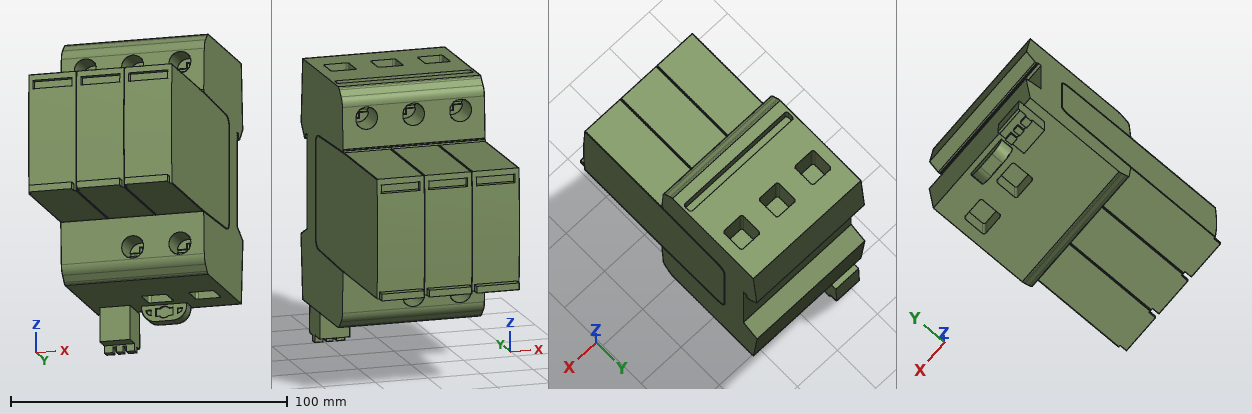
import cadquery as cq
import math


width = 54.0
height = 90.1
top_edge_front = -37.1
front_at_joint = -42.7
rear_at_end = 5.2
upper_rear = 7.0
lower_rear = 7.2
seat_low, seat_high = 24.2, 27.7
hook_start = 65.8
hook_root = 63.0
hook_tip = 60.8
hook_inner = 1.7
hook_tip_width = 1.2
hook_ease = 0.5
joint_groove = 0.3
joint_groove_top, joint_groove_bottom = 1.0, 0.4

pole_count = 3
module_gap = 0.2
module_pitch = (width + module_gap) / pole_count
module_width = module_pitch - module_gap
module_bottom = 22.2
module_top = 67.0
module_middle = (module_bottom + module_top) / 2
module_front = -82.9
front_bulge = 0.6
module_bend = -43.4
module_rear = -9.9
rear_narrowing = 1.2
rear_radius = 3.8
module_chamfer = 0.2
grip_width, grip_height, grip_depth = 14.7, 3.2, 1.9
grip_middle_z = 63.2
lip_width, lip_height = 16.2, 2.5
lip_front = -86.0

terminal_pitch = 17.8
screw_radius = 4.1
screw_hole_length = 12.7
screw_floor = -31.7
screw_z_top, screw_z_bottom = 78.9, 11.1
drive_width, drive_short, drive_depth = 1.2, 5.4, 1.1
entry_x, entry_y, entry_depth = 9.5, 9.7, 15.8
entry_middle_y = -10.5
marker_length, marker_width, marker_depth = 51.6, 3.8, 5.3
marker_middle_y = -30.6
opening_radius = 1.0

latch_width, latch_drop, latch_radius = 17.0, 6.1, 5.3
latch_front, latch_rear = -2.1, 3.2
latch_recess = 1.1
latch_mark_z = -2.7
tool_width, tool_height, tool_radius = 6.5, 3.0, 2.2
corner_mark_x, corner_mark_z, corner_mark_radius = 5.0, -1.7, 1.9

connector_width, connector_middle_x = 11.4, -17.8
connector_front, connector_rear = -4.5, 7.9
connector_taper = 0.4
connector_bottom = -12.8
rear_foot_bevel = 0.8
rear_foot_bottom = -13.4
tongue_bottom = -15.5
tongue_front, tongue_rear = 1.4, 4.3
tongue_notch, tongue_notch_pitch = 1.4, 3.8


def row_along_x(count, spacing):
    """X positions of a row centred on the middle of the width."""
    return [(i - (count - 1) / 2) * spacing for i in range(count)]


def block(x, y, z):
    """Box spanning the (low, high) ranges on each axis."""
    size = [high - low for low, high in (x, y, z)]
    return cq.Workplane("XY").box(*size, centered=False).translate((x[0], y[0], z[0]))


def extrude_across(outline, length, middle_x=0):
    """Extrude a closed Y-Z outline along X, centred on middle_x."""
    return outline.extrude(length / 2, both=True).translate((middle_x, 0, 0))


def front_sketch(y):
    """Workplane in X-Z facing the front at the given Y."""
    return cq.Workplane("XZ", origin=(0, y, 0))


def housing():
    crest = (-37.7, 0.3)
    slope_start = (-38.3, 0.8)
    slope_end = (-40.3, 3.0)
    arc_middle = (-41.5, 4.5)
    arc_end = (-41.9, 6.5)
    groove_floor = front_at_joint + joint_groove
    groove_top = module_top + joint_groove_top
    groove_bottom = module_top + joint_groove_bottom

    def top(point):
        return point[0], height - point[1]

    outline = (
        cq.Workplane("YZ")
        .moveTo(rear_at_end, height)
        .lineTo(top_edge_front, height)
        .lineTo(*top(crest))
        .lineTo(*top(slope_start))
        .lineTo(*top(slope_end))
        .threePointArc(top(arc_middle), top(arc_end))
        .lineTo(front_at_joint, groove_top)
        .lineTo(groove_floor, groove_top)
        .lineTo(groove_floor, groove_bottom)
        .lineTo(front_at_joint, groove_bottom)
        .lineTo(module_bend, module_top)
        .lineTo(front_at_joint, module_middle)
        .lineTo(front_at_joint, module_bottom)
        .lineTo(*arc_end)
        .threePointArc(arc_middle, slope_end)
        .lineTo(*slope_start)
        .lineTo(*crest)
        .lineTo(top_edge_front, 0)
        .lineTo(rear_at_end, 0)
        .lineTo(lower_rear, seat_low)
        .lineTo(0, seat_high)
        .lineTo(0, hook_root)
        .lineTo(hook_inner - hook_ease, hook_root)
        .lineTo(hook_inner, hook_root - hook_ease)
        .lineTo(hook_inner, hook_tip + hook_ease)
        .lineTo(hook_inner + hook_ease, hook_tip)
        .lineTo(hook_inner + hook_tip_width, hook_tip)
        .lineTo(upper_rear, hook_start)
        .close()
    )
    return extrude_across(outline, width)


def module_blank(length):
    outline = (
        cq.Workplane("YZ")
        .moveTo(module_front, module_bottom)
        .lineTo(module_bend, module_bottom)
        .lineTo(module_rear, module_bottom + rear_narrowing)
        .lineTo(module_rear, module_top - rear_narrowing)
        .lineTo(module_bend, module_top)
        .lineTo(module_front, module_top)
        .threePointArc((module_front - front_bulge, module_middle), (module_front, module_bottom))
        .close()
    )
    return extrude_across(outline, length).edges("|X and >Y").fillet(rear_radius)


def plug_in_module():
    module = module_blank(module_width)
    for side in ("<X", ">X"):
        module = module.faces(side).edges("not(<Y)").chamfer(module_chamfer)
    grip = block(
        (-grip_width / 2, grip_width / 2),
        (module_front - front_bulge, module_front + grip_depth),
        (grip_middle_z - grip_height / 2, grip_middle_z + grip_height / 2),
    )
    lip = block(
        (-lip_width / 2, lip_width / 2),
        (lip_front, module_front + front_bulge),
        (module_bottom, module_bottom + lip_height),
    )
    return module.cut(grip).union(lip)


def screw_opening(x, z):
    """Round access hole down to a screw head with a cross drive."""
    hole = front_sketch(screw_floor).center(x, z).circle(screw_radius).extrude(screw_hole_length)
    drive = front_sketch(screw_floor + drive_depth).center(x, z)
    head = drive.circle(screw_radius).extrude(drive_depth)
    long_slot = drive.rect(2 * screw_radius, drive_width).extrude(drive_depth).intersect(head)
    short_slot = drive.rect(drive_width, drive_short).extrude(drive_depth)
    return hole.union(long_slot).union(short_slot)


def rounded_pocket(x, y, size_x, size_y, z_low, depth):
    pocket = cq.Workplane("XY", origin=(x, y, z_low)).rect(size_x, size_y).extrude(depth)
    return pocket.edges("|Z").fillet(opening_radius)


def wire_entry(x, z_low):
    return rounded_pocket(x, entry_middle_y, entry_x, entry_y, z_low, entry_depth)


def latch():
    plate = block((-latch_width / 2, latch_width / 2), (latch_front, latch_rear), (-latch_drop, 0))
    plate = plate.edges("|Y and <Z").fillet(latch_radius)
    floor = front_sketch(latch_front + latch_recess)
    tool_opening = floor.center(0, latch_mark_z).rect(tool_width, tool_height).extrude(latch_recess)
    tool_round = floor.center(0, latch_mark_z).circle(tool_radius).extrude(latch_recess)
    plate = plate.cut(tool_opening).cut(tool_round)
    diagonal = corner_mark_radius * math.sqrt(0.5)
    for side in (-1, 1):
        corner_mark = (
            front_sketch(latch_front + latch_recess)
            .moveTo(side * corner_mark_x, corner_mark_z)
            .lineTo(side * (corner_mark_x + corner_mark_radius), corner_mark_z)
            .threePointArc(
                (side * (corner_mark_x + diagonal), corner_mark_z - diagonal),
                (side * corner_mark_x, corner_mark_z - corner_mark_radius),
            )
            .close()
            .extrude(latch_recess)
        )
        plate = plate.cut(corner_mark)
    return plate


def signal_connector():
    outline = (
        cq.Workplane("YZ")
        .moveTo(connector_front, 0)
        .lineTo(connector_rear - connector_taper, 0)
        .lineTo(connector_rear, connector_bottom)
        .lineTo(connector_rear - rear_foot_bevel, rear_foot_bottom)
        .lineTo(tongue_rear, rear_foot_bottom)
        .lineTo(tongue_rear, tongue_bottom)
        .lineTo(tongue_front, tongue_bottom)
        .lineTo(tongue_front, connector_bottom)
        .lineTo(connector_front, connector_bottom)
        .close()
    )
    connector = extrude_across(outline, connector_width, connector_middle_x)
    for side in (-1, 1):
        notch_x = connector_middle_x + side * tongue_notch_pitch / 2
        notch = block(
            (notch_x - tongue_notch / 2, notch_x + tongue_notch / 2),
            (tongue_front, tongue_rear),
            (tongue_bottom, rear_foot_bottom),
        )
        connector = connector.cut(notch)
    return connector


upper_terminals = row_along_x(pole_count, terminal_pitch)
lower_terminals = upper_terminals[1:]

result = housing().cut(module_blank(width))

for x in upper_terminals:
    result = result.cut(screw_opening(x, screw_z_top)).cut(wire_entry(x, height - entry_depth))

for x in lower_terminals:
    result = result.cut(screw_opening(x, screw_z_bottom)).cut(wire_entry(x, 0))

marker_floor = height - marker_depth
result = result.cut(
    rounded_pocket(0, marker_middle_y, marker_length, marker_width, marker_floor, marker_depth)
)

for x in row_along_x(pole_count, module_pitch):
    result = result.union(plug_in_module().translate((x, 0, 0)))

result = result.union(latch()).union(signal_connector())